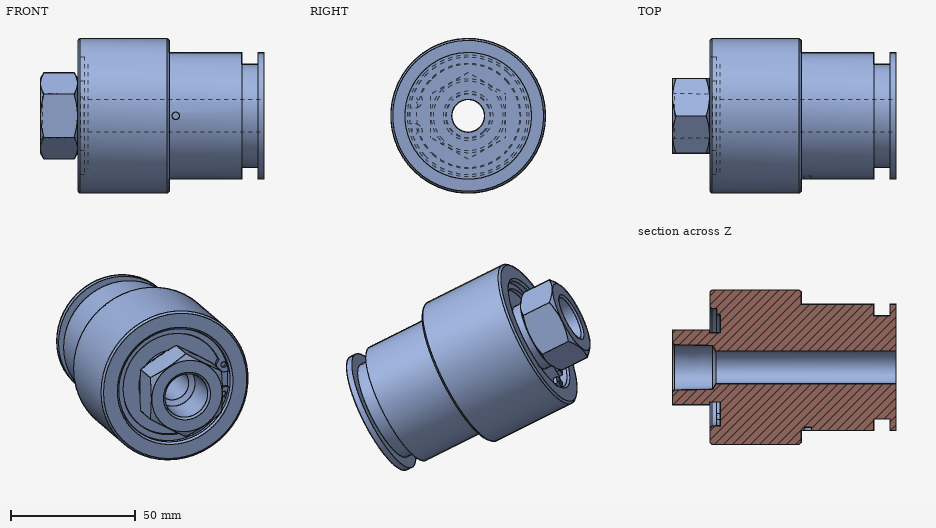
import cadquery as cq
import math

overall_length = 89.6
hex_end = 15.0
body_start = 15.05
body_end = 51.6
groove_start = 80.65
groove_end = 87.1

body_diameter = 62.0
shank_diameter = 50.7
groove_diameter = 41.4
neck_diameter = 27.9
body_chamfer = 0.8

hex_across_flats = 30.0
hex_face_diameter = 29.7
hex_chamfer_angle = 30.0

mouth_diameter = 19.8
thread_start_diameter = 18.0
thread_end_diameter = 17.5
bore_diameter = 13.0
mouth_depth = 0.8
thread_depth = 16.1
drill_half_angle = 60.0

recess_diameter = 47.05
recess_mouth_diameter = 48.75
recess_depth = 4.1

ring_inner_diameter = 42.1
ring_thickness = 1.4
lug_radius = 3.05
lug_hole_diameter = 2.3
lug_y = -21.4
lug_z = 6.2

side_hole_diameter = 3.0
side_hole_x = 54.2
side_hole_depth = 1.3


def revolve_about_x(points):
    """Revolve a closed (x, radius) outline about the X axis."""
    return cq.Workplane("XY").polyline(points).close().revolve(360, (0, 0, 0), (1, 0, 0))


def cylinder_along_x(x_start, x_end, diameter, y=0.0, z=0.0):
    plane = cq.Workplane("YZ", origin=(x_start, y, z))
    return plane.circle(diameter / 2).extrude(x_end - x_start)


def make_body():
    body = cylinder_along_x(body_start, body_end, body_diameter).edges().chamfer(body_chamfer)
    mouth_radius = recess_mouth_diameter / 2
    recess_radius = recess_diameter / 2
    recess_floor = body_start + recess_depth
    recess = revolve_about_x([
        (body_start, 0),
        (body_start, mouth_radius),
        (body_start + mouth_radius - recess_radius, recess_radius),
        (recess_floor, recess_radius),
        (recess_floor, 0),
    ])
    return body.cut(recess)


def make_shank():
    shank = cylinder_along_x(body_end, groove_start, shank_diameter)
    groove_floor = cylinder_along_x(groove_start, groove_end, groove_diameter)
    flange = cylinder_along_x(groove_end, overall_length, shank_diameter)
    side_hole = (
        cq.Workplane("XZ", origin=(side_hole_x, -shank_diameter / 2, 0))
        .circle(side_hole_diameter / 2)
        .extrude(-side_hole_depth)
    )
    return shank.union(groove_floor).union(flange).cut(side_hole)


def make_hex():
    corner_radius = hex_across_flats / math.sqrt(3)
    face_radius = hex_face_diameter / 2
    chamfer_length = (corner_radius - face_radius) * math.tan(math.radians(hex_chamfer_angle))
    prism = (
        cq.Workplane("YZ")
        .polygon(6, 2 * corner_radius)
        .extrude(hex_end)
        .rotate((0, 0, 0), (1, 0, 0), 90)
    )
    corner_rounding = revolve_about_x([
        (0, 0),
        (0, face_radius),
        (chamfer_length, corner_radius),
        (hex_end - chamfer_length, corner_radius),
        (hex_end, face_radius),
        (hex_end, 0),
    ])
    return prism.intersect(corner_rounding)


def make_ring():
    """Retaining ring on the recess floor, open towards -Y between its two lugs."""
    ring_end = body_start + recess_depth
    ring_start = ring_end - ring_thickness
    ring_middle = ring_start + ring_thickness / 2
    ring_radius = recess_diameter / 2
    disc = cylinder_along_x(ring_start, ring_end, recess_diameter)
    ring = disc.cut(cylinder_along_x(ring_start, ring_end, ring_inner_diameter))

    gap_width = 2 * (lug_z - lug_radius)
    gap = cq.Workplane("XY").box(ring_thickness, ring_radius, gap_width)
    ring = ring.cut(gap.translate((ring_middle, -ring_radius, 0)))

    tip_length = ring_radius + lug_y
    for side in (-1, 1):
        lug = cylinder_along_x(ring_start, ring_end, 2 * lug_radius, lug_y, side * lug_z)
        tip = cq.Workplane("XY").box(ring_thickness, tip_length, lug_radius)
        tip = tip.translate((ring_middle, lug_y - tip_length / 2, side * (lug_z - lug_radius / 2)))
        lug_hole = cylinder_along_x(ring_start, ring_end, lug_hole_diameter, lug_y, side * lug_z)
        ring = ring.union(lug.union(tip).intersect(disc)).cut(lug_hole)
    return ring


def make_bore():
    bore_radius = bore_diameter / 2
    thread_end_radius = thread_end_diameter / 2
    cone_length = (thread_end_radius - bore_radius) / math.tan(math.radians(drill_half_angle))
    return revolve_about_x([
        (0, 0),
        (0, mouth_diameter / 2),
        (mouth_depth, thread_start_diameter / 2),
        (thread_depth, thread_end_radius),
        (thread_depth + cone_length, bore_radius),
        (overall_length, bore_radius),
        (overall_length, 0),
    ])


neck = cylinder_along_x(hex_end, body_start + recess_depth, neck_diameter)
solid_part = make_body().union(make_shank()).union(neck).union(make_hex()).union(make_ring())
result = solid_part.cut(make_bore())